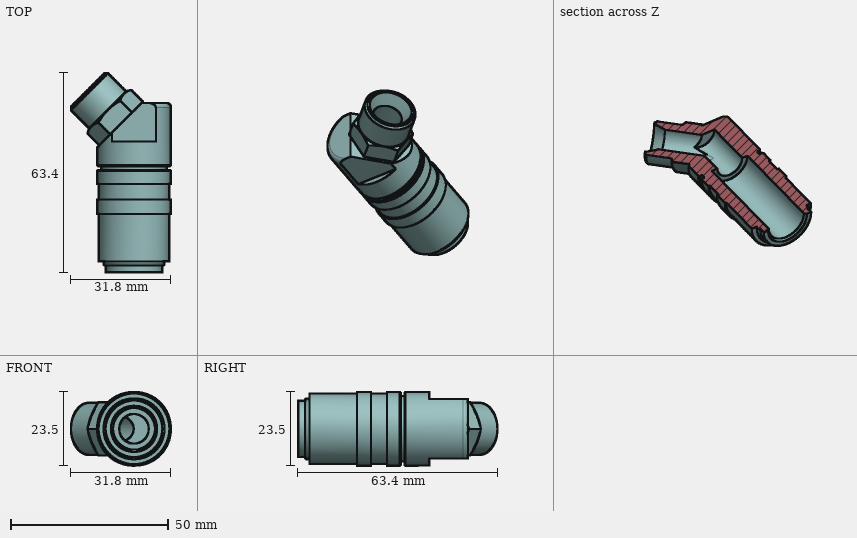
import cadquery as cq
import math

barrel_radius = 11.75
barrel_length = 53.95
barrel_end_fillet = 1.5

tip_radius = 9.0
sleeve_radius = 11.25
sleeve_start = 3.55
front_ring_start = 18.6
front_ring_end = 23.2
rear_ring_start = 28.2
groove_start = 32.6
groove_end = 33.75
groove_radius = 10.45
groove_chamfer = 0.4

bead_section_radius = 0.7
bead_center = sleeve_start - bead_section_radius

socket_radius = 6.65
socket_chamfer = 0.7
socket_depth = groove_end
passage_radius = 4.7
passage_end = 50.0

elbow_flat_half_width = 9.5
elbow_flat_start = 41.7

branch_angle = 45.0
axes_crossing = 43.28
branch_face = 5.8
hex_length = 6.05
hex_across_flats = 17.0
hex_chamfer_angle = 30.0
spigot_radius = 8.35
spigot_end = 20.8
spigot_chamfer = 0.75
cone_mouth_radius = 6.85
cone_depth = 4.0

branch_direction = cq.Vector(
    -math.sin(math.radians(branch_angle)),
    math.cos(math.radians(branch_angle)),
    0,
)


def branch_plane(distance):
    """Plane square to the branch axis; its local X is the part's Z."""
    origin = cq.Vector(0, axes_crossing, 0) + branch_direction * distance
    return cq.Plane(origin=origin, xDir=(0, 0, 1), normal=branch_direction)


def make_barrel():
    """Turned outside of the barrel, with rings, groove and sealing bead."""
    profile = (
        cq.Workplane("XY")
        .lineTo(tip_radius, 0)
        .lineTo(tip_radius, bead_center - bead_section_radius)
        .radiusArc((tip_radius + bead_section_radius, bead_center), -bead_section_radius)
        .radiusArc((tip_radius, sleeve_start), -bead_section_radius)
        .lineTo(sleeve_radius, sleeve_start)
        .lineTo(sleeve_radius, front_ring_start)
        .lineTo(barrel_radius, front_ring_start)
        .lineTo(barrel_radius, front_ring_end)
        .lineTo(sleeve_radius, front_ring_end)
        .lineTo(sleeve_radius, rear_ring_start)
        .lineTo(barrel_radius, rear_ring_start)
        .lineTo(barrel_radius, groove_start - groove_chamfer)
        .lineTo(barrel_radius - groove_chamfer, groove_start)
        .lineTo(groove_radius, groove_start)
        .lineTo(groove_radius, groove_end)
        .lineTo(barrel_radius - groove_chamfer, groove_end)
        .lineTo(barrel_radius, groove_end + groove_chamfer)
        .lineTo(barrel_radius, barrel_length)
        .lineTo(0, barrel_length)
        .close()
    )
    barrel = profile.revolve(360, (0, 0, 0), (0, 1, 0))
    return barrel.faces(">Y").edges().fillet(barrel_end_fillet)


def cut_elbow_flats(barrel):
    """Mill the two wrench flats from the elbow end of the barrel."""
    flat_length = barrel_length - elbow_flat_start
    flat_center = elbow_flat_start + flat_length / 2
    depth = barrel_radius - elbow_flat_half_width
    waste_height = elbow_flat_half_width + depth / 2
    for side in (1, -1):
        waste = cq.Workplane("XY").box(2 * barrel_radius, flat_length, depth)
        barrel = barrel.cut(waste.translate((0, flat_center, side * waste_height)))
    return barrel


def cut_branch_face(barrel):
    """Remove everything beyond the slanted face that carries the branch."""
    waste_size = 2 * barrel_length
    waste = cq.Workplane(branch_plane(branch_face)).rect(waste_size, waste_size).extrude(waste_size)
    return barrel.cut(waste)


def revolve_about_branch(points):
    """Solid of revolution from (radius, distance along the branch axis) points."""
    section_plane = cq.Plane(
        origin=(0, axes_crossing, 0),
        xDir=branch_direction.cross(cq.Vector(0, 0, 1)),
        normal=(0, 0, 1),
    )
    return cq.Workplane(section_plane).polyline(points).close().revolve(360, (0, 0, 0), (0, 1, 0))


def make_hexagon():
    """Hexagon with two flats facing +Z and -Z and its outer corners chamfered."""
    flat_radius = hex_across_flats / 2
    corner_radius = flat_radius / math.cos(math.pi / 6)
    hexagon = (
        cq.Workplane(branch_plane(branch_face))
        .transformed(rotate=(0, 0, 90))
        .polygon(6, 2 * corner_radius)
        .extrude(hex_length)
    )
    hex_end = branch_face + hex_length
    corner_drop = (corner_radius - flat_radius) * math.tan(math.radians(hex_chamfer_angle))
    envelope = revolve_about_branch([
        (0, branch_face),
        (corner_radius, branch_face),
        (corner_radius, hex_end - corner_drop),
        (flat_radius, hex_end),
        (0, hex_end),
    ])
    return hexagon.intersect(envelope)


def make_spigot():
    """Plain cylindrical end of the branch with a chamfered rim."""
    return revolve_about_branch([
        (0, branch_face),
        (spigot_radius, branch_face),
        (spigot_radius, spigot_end - spigot_chamfer),
        (spigot_radius - spigot_chamfer, spigot_end),
        (0, spigot_end),
    ])


def make_barrel_bore():
    """Chamfered socket followed by the narrower, flat-ended passage."""
    return (
        cq.Workplane("XY")
        .polyline([
            (0, 0),
            (socket_radius + socket_chamfer, 0),
            (socket_radius, socket_chamfer),
            (socket_radius, socket_depth),
            (passage_radius, socket_depth),
            (passage_radius, passage_end),
            (0, passage_end),
        ])
        .close()
        .revolve(360, (0, 0, 0), (0, 1, 0))
    )


def make_branch_bore():
    """Passage from the crossing of the axes, opening out in a cone at the rim."""
    return revolve_about_branch([
        (0, 0),
        (passage_radius, 0),
        (passage_radius, spigot_end - cone_depth),
        (cone_mouth_radius, spigot_end),
        (0, spigot_end),
    ])


elbow = cut_branch_face(cut_elbow_flats(make_barrel()))
outside = elbow.union(make_hexagon()).union(make_spigot())
bores = make_barrel_bore().union(make_branch_bore())
result = outside.cut(bores)